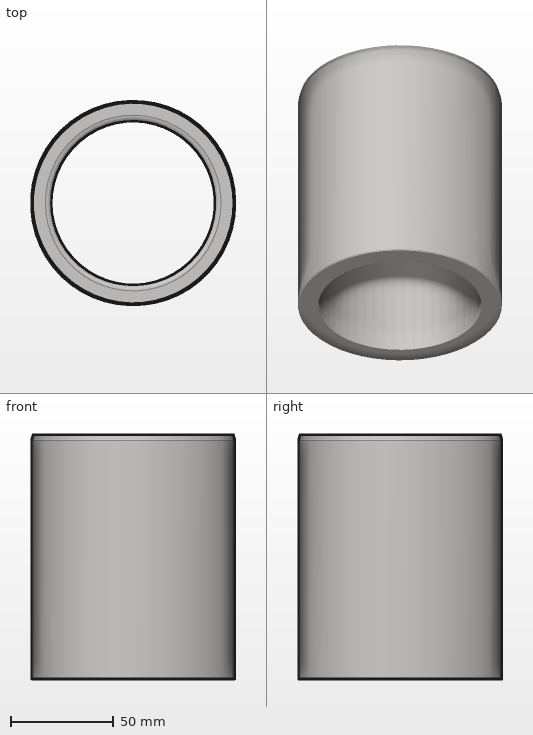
import cadquery as cq
import math

length = 120.0
outer_diameter = 100.0
bore_diameter = 80.0

lead_in_height = 3.0
lead_in_angle = 15.0
bore_round = 3.0
bottom_chamfer = 0.5

outer_radius = outer_diameter / 2
lead_in_width = lead_in_height * math.tan(math.radians(lead_in_angle))


def make_body():
    """Solid of revolution with a tapered lead-in at the top and a small bottom chamfer."""
    profile = (
        cq.Workplane("XZ")
        .lineTo(outer_radius - bottom_chamfer, 0)
        .lineTo(outer_radius, bottom_chamfer)
        .lineTo(outer_radius, length - lead_in_height)
        .lineTo(outer_radius - lead_in_width, length)
        .lineTo(0, length)
        .close()
    )
    return profile.revolve(360, (0, 0, 0), (0, 1, 0))


def cut_bore(body):
    """Through bore with a rounded mouth at the top."""
    bored = body.faces(">Z").workplane(origin=(0, 0, length)).hole(bore_diameter)
    mouth = bored.faces(">Z").edges(cq.selectors.RadiusNthSelector(0))
    return mouth.fillet(bore_round)


result = cut_bore(make_body())